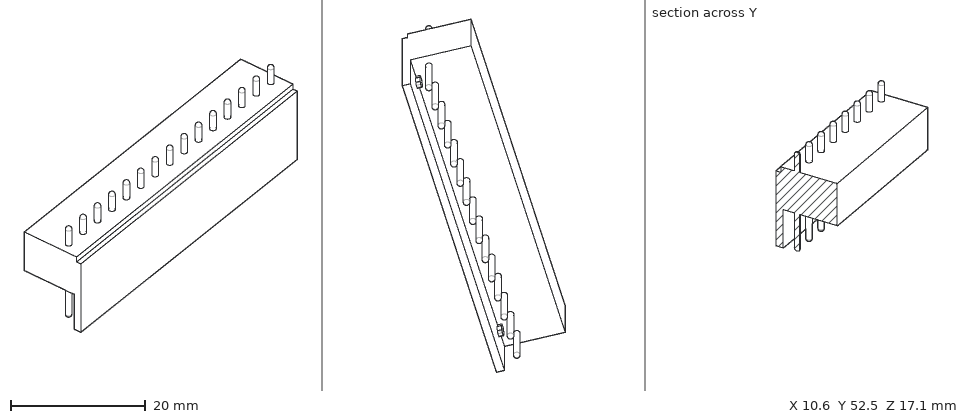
import cadquery as cq

length = 52.5
pin_count = 15
pitch = length / pin_count
depth = 10.6
body_height = 7.3
wall_thickness = 1.25
wall_drop = 6.55
step_depth = 0.8
step_height = 0.95

pin_radius = 0.5
pin_x = 7.0
pin_rise = 3.3
pin_drop = 6.4

key_thickness = 0.7
key_width = 0.95
key_length = 2.05
key_corner = 0.25
key_bulge_radius = 0.75
key_bulge_drop = 1.05
key_y = length / 2 - pitch

wall_x = depth - wall_thickness


def make_housing():
    profile = [
        (0, 0),
        (wall_x, 0),
        (wall_x, -wall_drop),
        (depth, -wall_drop),
        (depth, body_height - step_height),
        (depth - step_depth, body_height - step_height),
        (depth - step_depth, body_height),
        (0, body_height),
    ]
    section = cq.Workplane("XZ").polyline(profile).close()
    return section.extrude(length / 2, both=True)


def make_pin(y):
    pin_length = pin_drop + body_height + pin_rise
    shank_length = pin_length - 2 * pin_radius
    pin = (
        cq.Workplane("YZ")
        .moveTo(0, 0)
        .radiusArc((pin_radius, pin_radius), -pin_radius)
        .line(0, shank_length)
        .radiusArc((0, pin_length), -pin_radius)
        .close()
        .revolve(360, (0, 0), (0, 1))
    )
    return pin.translate((pin_x, y, -pin_drop))


def make_key(y):
    stem = (
        cq.Workplane("XY")
        .box(key_thickness, key_width, key_length, centered=(False, True, False))
        .edges("|X and <Z")
        .fillet(key_corner)
        .translate((0, 0, -key_length))
    )
    bulge = (
        cq.Workplane("YZ")
        .center(0, -key_bulge_drop)
        .circle(key_bulge_radius)
        .extrude(key_thickness)
    )
    return stem.union(bulge).translate((wall_x - key_thickness, y, 0))


result = make_housing()
for index in range(pin_count):
    result = result.union(make_pin((index - (pin_count - 1) / 2) * pitch))
for y in (-key_y, key_y):
    result = result.union(make_key(y))